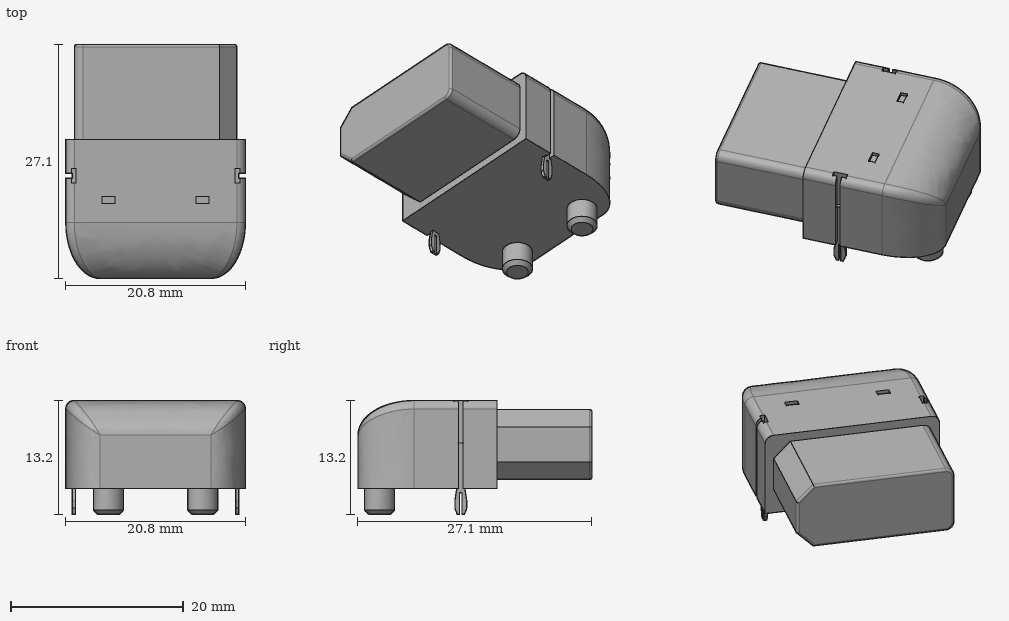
import cadquery as cq

body_width = 20.81
body_height = 10.2
body_length = 16.1
nose_length = 6.5
nose_inset = 4.0
edge_radius = 1.0

plug_length = 11.0
plug_width = 18.8
plug_height = 8.1
plug_bottom = (body_height - plug_height) / 2
plug_radius = 1.0
plug_chamfer = 2.0
plug_end_radius = 0.3

peg_diameter = 3.5
peg_length = 3.0
peg_chamfer = 0.5
peg_x = 5.45
peg_y = 2.5

recess_width = 1.5
recess_length = 0.8
recess_depth = 0.4
recess_x = peg_x
recess_y = 9.08

pin_y = 11.9
pin_inner_x = 9.25
pin_thickness = 0.4
pin_neck_half = 0.48
pin_belly_half = 0.7
pin_tip_half = 0.42
pin_belly_top = -1.42
pin_belly_bottom = -2.27
pin_tip = -3.0
pin_slit_width = 0.25
pin_slit_top = -0.5
slot_width = 0.56
pocket_inner_x = 9.2
pocket_width = 0.55
pocket_length = 1.65
pocket_floor = 5.27

pin_outer_x = pin_inner_x + pin_thickness
half_width = body_width / 2
front_half_width = half_width - nose_inset
front_height = body_height - nose_inset


def box(x_min, x_max, y_min, y_max, z_min, z_max):
    corner_box = cq.Workplane("XY").box(x_max - x_min, y_max - y_min, z_max - z_min, centered=False)
    return corner_box.translate((x_min, y_min, z_min))


def make_housing():
    """Block whose sides and top curve into the front face along quarter ellipses."""
    plan = (
        cq.Workplane("XY")
        .moveTo(-half_width, body_length)
        .lineTo(-half_width, nose_length)
        .ellipseArc(nose_inset, nose_length, 180, 270, startAtCurrent=True)
        .lineTo(front_half_width, 0)
        .ellipseArc(nose_inset, nose_length, 270, 360, startAtCurrent=True)
        .lineTo(half_width, body_length)
        .close()
        .extrude(body_height)
    )
    profile = (
        cq.Workplane("YZ", origin=(-half_width, 0, 0))
        .moveTo(body_length, 0)
        .lineTo(0, 0)
        .lineTo(0, front_height)
        .ellipseArc(nose_length, nose_inset, 90, 180, startAtCurrent=True, sense=-1)
        .lineTo(body_length, body_height)
        .close()
        .extrude(body_width)
    )
    return plan.intersect(profile).edges("|Y and >Z").fillet(edge_radius)


def make_plug():
    """Shell with rounded edges on the -X side and chamfered edges on the +X side."""
    plug = box(
        -plug_width / 2, plug_width / 2,
        body_length, body_length + plug_length,
        plug_bottom, plug_bottom + plug_height,
    )
    plug = plug.edges("|Y and <X").fillet(plug_radius)
    plug = plug.edges("|Y and >X").chamfer(plug_chamfer)
    return plug.faces(">Y").edges().fillet(plug_end_radius)


def make_peg(side):
    peg = cq.Workplane("XY").circle(peg_diameter / 2).extrude(-peg_length)
    return peg.faces("<Z").chamfer(peg_chamfer).translate((side * peg_x, peg_y, 0))


def make_recess(side):
    recess = cq.Workplane("XY").box(recess_width, recess_length, 2 * recess_depth)
    return recess.translate((side * recess_x, recess_y, body_height))


def make_slot(side):
    """Side slot over the full height, open to a wider pocket that is sunk from the top."""
    slot = box(
        pin_outer_x, half_width,
        pin_y - slot_width / 2, pin_y + slot_width / 2,
        0, body_height,
    )
    pocket = box(
        pocket_inner_x, pocket_inner_x + pocket_width,
        pin_y - pocket_length / 2, pin_y + pocket_length / 2,
        pocket_floor, body_height,
    )
    slot = slot.union(pocket)
    return slot if side > 0 else slot.mirror("YZ")


def make_pin(side):
    """Flat pin below the housing: a bulged outline split by a slit that is open at the tip."""
    pin = (
        cq.Workplane("YZ", origin=(pin_inner_x, pin_y, 0))
        .moveTo(pin_neck_half, 0)
        .lineTo(pin_belly_half, pin_belly_top)
        .lineTo(pin_belly_half, pin_belly_bottom)
        .lineTo(pin_tip_half, pin_tip)
        .lineTo(-pin_tip_half, pin_tip)
        .lineTo(-pin_belly_half, pin_belly_bottom)
        .lineTo(-pin_belly_half, pin_belly_top)
        .lineTo(-pin_neck_half, 0)
        .close()
        .extrude(pin_thickness)
    )
    slit = box(
        pin_inner_x, pin_outer_x,
        pin_y - pin_slit_width / 2, pin_y + pin_slit_width / 2,
        pin_tip, pin_slit_top,
    )
    pin = pin.cut(slit)
    return pin if side > 0 else pin.mirror("YZ")


part = make_housing().union(make_plug())
for side in (-1, 1):
    part = part.union(make_peg(side))
    part = part.cut(make_recess(side))
    part = part.cut(make_slot(side))
    part = part.union(make_pin(side))

result = part